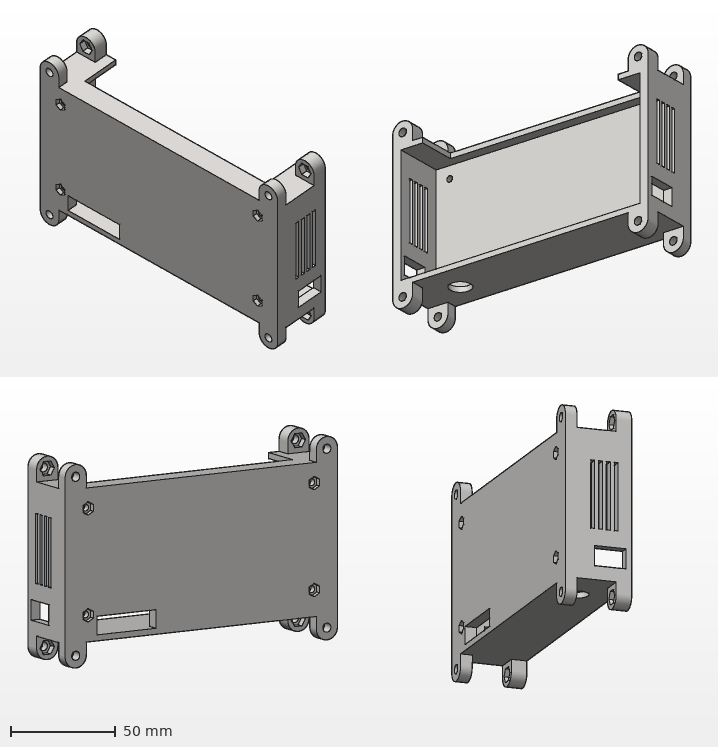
import cadquery as cq

LENGTH = 153.0
DEPTH = 34.0
HEIGHT = 75.0
END_WALL = 5.0
FLOOR_WALL = 3.0
FRONT_WALL = 6.0
OVERSHOOT = 1.0

TOP_LIP_DEPTH = 12.0
TOP_CORNER_LENGTH = 18.0

LUG_RADIUS = 6.0
LUG_RISE = 6.0
FRONT_LUG_DEPTH = FRONT_WALL
REAR_LUG_DEPTH = 8.0
LUG_HOLE_DIAMETER = 4.4
LUG_NUT_CORNERS = 7.9
LUG_NUT_DEPTH = 3.5

MOUNT_X_POSITIONS = (13.0, LENGTH - 13.0)
MOUNT_Z_POSITIONS = (13.0, HEIGHT - 10.0)
MOUNT_HOLE_DIAMETER = 3.3
MOUNT_NUT_CORNERS = 6.5
MOUNT_NUT_DEPTH = 2.5
MOUNT_NUT_TURN = 90.0

FRONT_SLOT_X = 18.0
FRONT_SLOT_LENGTH = 33.0
FRONT_SLOT_HEIGHT = 9.0

VENT_COUNT = 4
VENT_PITCH = 4.0
VENT_WIDTH = 2.0
VENT_HEIGHT = 34.0
VENT_FIRST_Y = 13.0
VENT_Z = 25.5
WINDOW_Y = 15.0
WINDOW_Z = 7.0
WINDOW_WIDTH = 16.0
WINDOW_HEIGHT = 10.0

CABLE_HOLE_X = 126.0
CABLE_HOLE_Y = 16.0
CABLE_HOLE_DIAMETER = 12.0


def block(x, y, z, length, depth, height):
    """Box with its lowest corner at (x, y, z)."""
    return cq.Workplane("XY").box(length, depth, height, centered=False).translate((x, y, z))


def rod_along_y(x, z, y, diameter, depth):
    """Round rod running towards +Y from the given start."""
    return cq.Workplane("XZ", origin=(x, y, z)).circle(diameter / 2).extrude(-depth)


def hexagon_along_y(x, z, y, corner_diameter, depth, turn=0):
    """Hexagonal prism running towards +Y; without a turn two corners point along X."""
    prism = cq.Workplane("XZ", origin=(x, y, z)).polygon(6, corner_diameter).extrude(-depth)
    return prism.rotate((x, y, z), (x, y + 1, z), turn)


def make_shell():
    outside = block(0, 0, 0, LENGTH, DEPTH, HEIGHT)
    cavity = block(
        END_WALL,
        FRONT_WALL,
        FLOOR_WALL,
        LENGTH - 2 * END_WALL,
        DEPTH - FRONT_WALL + OVERSHOOT,
        HEIGHT - 2 * FLOOR_WALL,
    )
    top_cutout = block(
        TOP_CORNER_LENGTH,
        TOP_LIP_DEPTH,
        HEIGHT - FLOOR_WALL,
        LENGTH - 2 * TOP_CORNER_LENGTH,
        DEPTH - TOP_LIP_DEPTH + OVERSHOOT,
        FLOOR_WALL + OVERSHOOT,
    )
    return outside.cut(cavity).cut(top_cutout)


def make_lug(x, edge_z, direction, y, depth):
    """Lug standing on the body edge; direction is +1 for up and -1 for down."""
    axis_z = edge_z + direction * LUG_RISE
    stem = block(x - LUG_RADIUS, y, min(edge_z, axis_z), 2 * LUG_RADIUS, depth, LUG_RISE)
    return stem.union(rod_along_y(x, axis_z, y, 2 * LUG_RADIUS, depth))


def add_lugs(body):
    rear_y = DEPTH - REAR_LUG_DEPTH
    for x in (LUG_RADIUS, LENGTH - LUG_RADIUS):
        for edge_z, direction in ((0, -1), (HEIGHT, 1)):
            axis_z = edge_z + direction * LUG_RISE
            body = body.union(make_lug(x, edge_z, direction, 0, FRONT_LUG_DEPTH))
            body = body.union(make_lug(x, edge_z, direction, rear_y, REAR_LUG_DEPTH))
            body = body.cut(rod_along_y(x, axis_z, 0, LUG_HOLE_DIAMETER, DEPTH))
            body = body.cut(hexagon_along_y(x, axis_z, rear_y, LUG_NUT_CORNERS, LUG_NUT_DEPTH))
    return body


def cut_board_mounts(body):
    for x in MOUNT_X_POSITIONS:
        for z in MOUNT_Z_POSITIONS:
            body = body.cut(rod_along_y(x, z, 0, MOUNT_HOLE_DIAMETER, FRONT_WALL))
            body = body.cut(hexagon_along_y(x, z, 0, MOUNT_NUT_CORNERS, MOUNT_NUT_DEPTH, MOUNT_NUT_TURN))
    return body


def cut_front_slot(body):
    slot = block(FRONT_SLOT_X, 0, FLOOR_WALL, FRONT_SLOT_LENGTH, FRONT_WALL, FRONT_SLOT_HEIGHT)
    return body.cut(slot)


def cut_end_walls(body):
    for index in range(VENT_COUNT):
        vent_y = VENT_FIRST_Y + index * VENT_PITCH
        body = body.cut(block(0, vent_y, VENT_Z, LENGTH, VENT_WIDTH, VENT_HEIGHT))
    return body.cut(block(0, WINDOW_Y, WINDOW_Z, LENGTH, WINDOW_WIDTH, WINDOW_HEIGHT))


def cut_cable_hole(body):
    hole = cq.Workplane("XY").center(CABLE_HOLE_X, CABLE_HOLE_Y)
    return body.cut(hole.circle(CABLE_HOLE_DIAMETER / 2).extrude(FLOOR_WALL))


body = make_shell()
body = add_lugs(body)
body = cut_board_mounts(body)
body = cut_front_slot(body)
body = cut_end_walls(body)
result = cut_cable_hole(body)